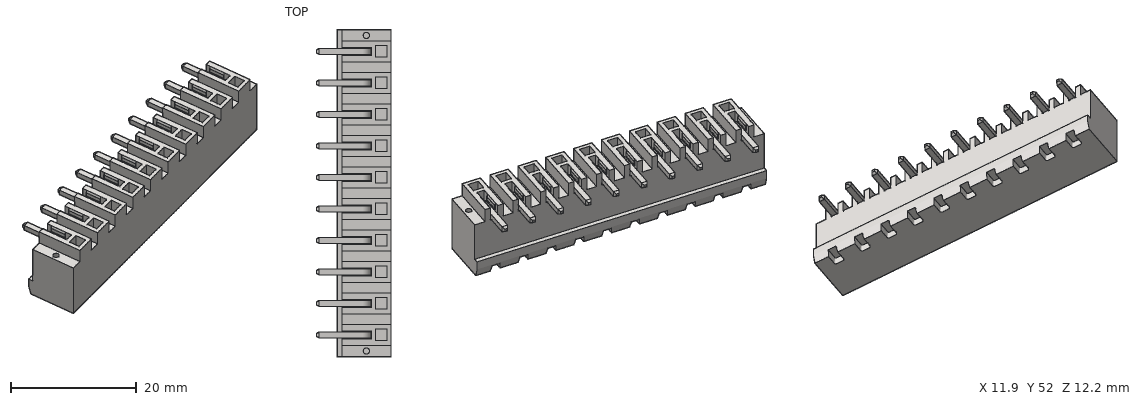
import cadquery as cq

length = 52.0
depth = 11.9
height = 12.2

contact_count = 10
end_margin = 3.5
pitch = (length - 2 * end_margin) / (contact_count - 1)
contact_rows = [(0, -length / 2 + end_margin + i * pitch) for i in range(contact_count)]

front_face = 4.1
tower_height = 2.4
tower_width = 3.3
shoulder = height - tower_height
lip_front = 3.35
lip_top = 3.0
lip_bevel_height = 1.45
lip_bevel_bottom = 3.75

pin_size = 1.0
pin_top = shoulder + pin_size
pin_taper_length = 0.45
pin_tip_size = 0.45
bend_start = 7.45
bend_radius = 1.25

slot_width = 1.3
slot_end = 8.75
rib_start = 4.9
rib_end = 7.6
rib_depth = 0.15
rib_bevel = 0.4
rib_height = 1.25

pocket_size = 1.8
pocket_center = 10.35

end_hole_diameter = 1.0
end_hole_depth = 2.0
end_hole_center = 7.95
end_hole_margin = 0.95

entry_width = 1.75
entry_back = 5.7
entry_length = 3.1
entry_height = 1.2
entry_corner = 0.3
entry_taper = 8


def make_housing():
    """Long bar with a bevelled lip along the lower front edge."""
    profile = [
        (lip_bevel_bottom, 0),
        (depth, 0),
        (depth, shoulder),
        (front_face, shoulder),
        (front_face, lip_top),
        (lip_front, lip_top),
        (lip_front, lip_bevel_height),
    ]
    return cq.Workplane("XZ").polyline(profile).close().extrude(length / 2, both=True)


def box_between(x_start, x_end, width, z_start, z_end):
    """Box centred on Y = 0."""
    box = cq.Workplane("XY").box(x_end - x_start, width, z_end - z_start, centered=(False, True, False))
    return box.translate((x_start, 0, z_start))


def make_ribs():
    """Pair of bevelled ribs that narrow the slot above the pin."""
    wall = slot_width / 2
    crest = wall - rib_depth
    profile = [
        (wall, height),
        (crest, height - rib_bevel),
        (crest, height - rib_height),
        (wall, height - rib_height),
    ]
    rib = cq.Workplane("YZ", origin=(rib_start, 0, 0)).polyline(profile).close().extrude(rib_end - rib_start)
    return rib.union(rib.mirror("XZ"))


def make_tower():
    """Raised block with the open pin slot, its ribs and the square pocket."""
    block = box_between(front_face, depth, tower_width, shoulder, height)
    slot = box_between(front_face, slot_end, slot_width, shoulder, height)
    pocket = box_between(
        pocket_center - pocket_size / 2, pocket_center + pocket_size / 2, pocket_size, shoulder, height
    )
    return block.cut(slot).cut(pocket).union(make_ribs())


def make_pin():
    """Square pin with a tapered tip and a rounded bend at its inner end."""
    bend_center = pin_top - bend_radius
    bar = (
        cq.Workplane("XZ")
        .moveTo(pin_taper_length, shoulder)
        .lineTo(pin_taper_length, pin_top)
        .lineTo(bend_start, pin_top)
        .radiusArc((bend_start + bend_radius, bend_center), bend_radius)
        .lineTo(bend_start, bend_center)
        .lineTo(bend_start, shoulder)
        .close()
        .extrude(pin_size / 2, both=True)
    )
    tip = (
        cq.Workplane("YZ", origin=(0, 0, shoulder + pin_size / 2))
        .rect(pin_tip_size, pin_tip_size)
        .workplane(offset=pin_taper_length)
        .rect(pin_size, pin_size)
        .loft(ruled=True)
    )
    return bar.union(tip)


def make_entry():
    """Round-cornered recess, narrowing upwards, that runs out through the front of the lip."""
    return (
        cq.Workplane("XY", origin=(entry_back - entry_length / 2, 0, 0))
        .sketch()
        .rect(entry_length, entry_width)
        .vertices()
        .fillet(entry_corner)
        .finalize()
        .extrude(entry_height, taper=entry_taper)
    )


def at_every_contact(shape):
    """Copies of one shape in every contact row."""
    return cq.Workplane("XY").pushPoints(contact_rows).eachpoint(lambda place: shape.val().located(place))


end_hole_spacing = length - 2 * end_hole_margin
end_holes = (
    cq.Workplane("XY", origin=(end_hole_center, 0, shoulder - end_hole_depth))
    .rarray(0.5, end_hole_spacing, 1, 2)
    .circle(end_hole_diameter / 2)
    .extrude(end_hole_depth)
)

result = (
    make_housing()
    .union(at_every_contact(make_tower()))
    .union(at_every_contact(make_pin()))
    .cut(at_every_contact(make_entry()))
    .cut(end_holes)
)